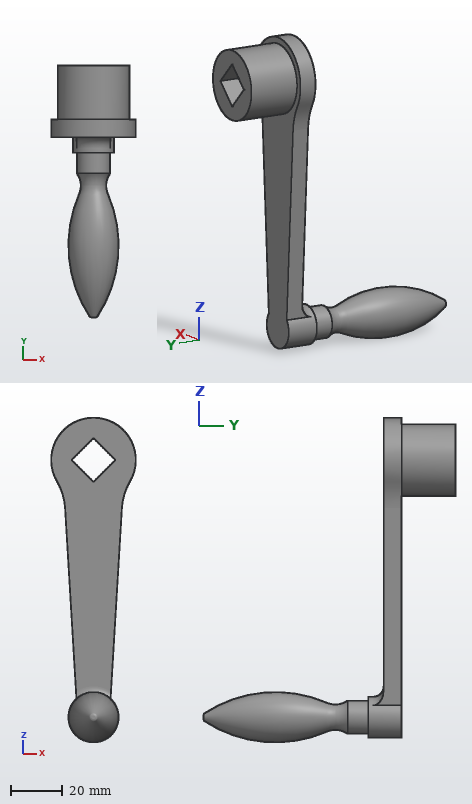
import math

import cadquery as cq


arm_thickness = 7.0
arm_length = 100.0
head_radius = 16.5
arm_half_width_at_hub = 12.2
arm_half_width_at_boss = 6.25
neck_radius = 23.0

hub_radius = 14.0
hub_length = 21.0
square_side = 12.0

boss_radius = 8.0
boss_height = 6.0
boss_fillet = 4.0

handle_length = 64.0
ferrule_radius = 6.5
ferrule_length = 8.0
waist_radius = 5.0
ferrule_cove_radius = 8.0
grip_cove_radius = 9.0
grip_radius = 9.83
grip_arc_radius = 50.0
tip_fillet = 1.0


def prism(outline, start, end):
    """Extrude an XZ outline between two Y positions, with start behind end."""
    return outline.extrude(start - end).translate((0, start, 0))


def circle_at(z, radius):
    """Circle outline in the XZ plane, centered on X = 0."""
    return cq.Workplane("XZ").center(0, z).circle(radius)


def make_arm_outline():
    """Head arc, concave neck arcs and straight tapered sides."""
    taper = math.atan((arm_half_width_at_hub - arm_half_width_at_boss) / arm_length)

    center_distance = head_radius + neck_radius
    line_offset = arm_half_width_at_hub * math.cos(taper) + neck_radius
    center_angle = taper + math.acos(line_offset / center_distance)
    center_x = center_distance * math.cos(center_angle)
    center_z = -center_distance * math.sin(center_angle)

    head_x = head_radius * math.cos(center_angle)
    head_z = -head_radius * math.sin(center_angle)
    side_x = center_x - neck_radius * math.cos(taper)
    side_z = center_z + neck_radius * math.sin(taper)
    middle_angle = (center_angle + taper) / 2
    middle_x = center_x - neck_radius * math.cos(middle_angle)
    middle_z = center_z + neck_radius * math.sin(middle_angle)

    return (
        cq.Workplane("XZ")
        .moveTo(-head_x, head_z)
        .threePointArc((0, head_radius), (head_x, head_z))
        .threePointArc((middle_x, middle_z), (side_x, side_z))
        .lineTo(arm_half_width_at_boss, -arm_length)
        .lineTo(-arm_half_width_at_boss, -arm_length)
        .lineTo(-side_x, side_z)
        .threePointArc((-middle_x, middle_z), (-head_x, head_z))
        .close()
    )


def make_boss_fillet():
    """Concave collar around the boss, kept only where it stands on the arm."""
    outer_radius = boss_radius + boss_fillet
    arc_drop = boss_fillet * (1 - math.sqrt(0.5))
    collar = (
        cq.Workplane("XY")
        .moveTo(0, 0)
        .lineTo(outer_radius, 0)
        .threePointArc((boss_radius + arc_drop, -arc_drop), (boss_radius, -boss_fillet))
        .lineTo(0, -boss_fillet)
        .close()
        .revolve(360, (0, 0, 0), (0, 1, 0))
        .translate((0, 0, -arm_length))
    )
    return collar.intersect(prism(make_arm_outline(), 0, -boss_fillet))


def make_handle():
    """Turned handle: ferrule, waist and a bulging grip with a rounded tip."""
    def cove_point(radius, waist, distance):
        rise = radius - math.sqrt(radius**2 - distance**2)
        return (waist_radius + rise, -(waist + distance))

    def grip_point(along):
        drop = grip_arc_radius - math.sqrt(grip_arc_radius**2 - (along - grip_middle) ** 2)
        return (grip_radius - drop, -along)

    ferrule_rise = ferrule_radius - waist_radius
    ferrule_center_offset = ferrule_cove_radius - ferrule_rise
    ferrule_cove_length = math.sqrt(ferrule_cove_radius**2 - ferrule_center_offset**2)
    waist = ferrule_length + ferrule_cove_length

    center_distance = grip_cove_radius + grip_arc_radius
    radial_distance = center_distance - (grip_radius - waist_radius)
    waist_to_middle = math.sqrt(center_distance**2 - radial_distance**2)
    grip_middle = waist + waist_to_middle
    grip_cove_length = waist_to_middle * grip_cove_radius / center_distance

    return (
        cq.Workplane("XY")
        .moveTo(0, 0)
        .lineTo(ferrule_radius, 0)
        .lineTo(ferrule_radius, -ferrule_length)
        .threePointArc(
            cove_point(ferrule_cove_radius, waist, -ferrule_cove_length / 2),
            (waist_radius, -waist),
        )
        .threePointArc(
            cove_point(grip_cove_radius, waist, grip_cove_length / 2),
            cove_point(grip_cove_radius, waist, grip_cove_length),
        )
        .threePointArc(grip_point(grip_middle), grip_point(handle_length))
        .lineTo(0, -handle_length)
        .close()
        .revolve(360, (0, 0, 0), (0, 1, 0))
        .faces("<Y")
        .edges()
        .fillet(tip_fillet)
        .translate((0, -boss_height, -arm_length))
    )


hub_back = arm_thickness + hub_length
arm = prism(make_arm_outline(), arm_thickness, 0)
hub = prism(circle_at(0, hub_radius), hub_back, arm_thickness)
boss = prism(circle_at(-arm_length, boss_radius), arm_thickness, -boss_height)

square = cq.Workplane("XZ").transformed(rotate=(0, 0, 45)).rect(square_side, square_side)
socket = prism(square, hub_back, 0)

crank = arm.union(hub).union(boss).union(make_boss_fillet()).union(make_handle())
result = crank.cut(socket)